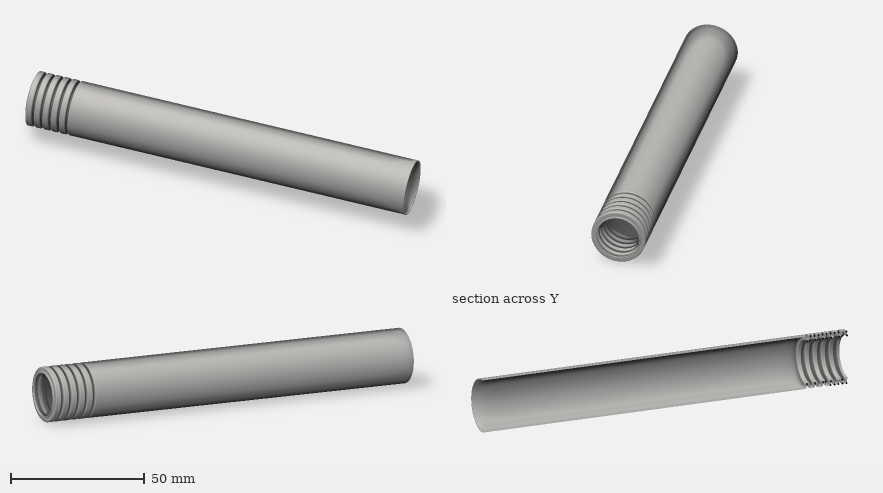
import cadquery as cq

length = 150.0
outer_diameter = 21.0
groove_diameter = 17.3
wall = 0.35

ridge_count = 5
pitch = 3.3
groove_width = 1.05
convex_fillet = 0.4
concave_fillet = 0.2

collar_length = groove_width / 2
ridge_width = pitch - groove_width
tube_start = collar_length + ridge_count * pitch
outer_radius = outer_diameter / 2
groove_radius = groove_diameter / 2


def cylinder(start, end, radius):
    """Solid cylinder on the X axis between two stations."""
    return cq.Workplane("YZ").workplane(offset=start).circle(radius).extrude(end - start)


def round_fold_edges(body, radius, fillet):
    """Round the circular edges of the given radius, leaving the two open ends sharp."""
    circles = body.edges("%CIRCLE").edges("not(<X or >X)").vals()
    fold_edges = [edge for edge in circles if abs(edge.radius() - radius) < wall / 2]
    return body.newObject(fold_edges).fillet(fillet)


def folded_solid(inset, crest_fillet, root_fillet):
    """Solid bounded by the folded outer surface, moved inward by the inset."""
    crest_radius = outer_radius - inset
    root_radius = groove_radius - inset
    body = cylinder(0, length, root_radius)
    body = body.union(cylinder(tube_start + inset, length, crest_radius))
    for index in range(ridge_count):
        start = collar_length + index * pitch
        body = body.union(cylinder(start + inset, start + ridge_width - inset, crest_radius))
    body = round_fold_edges(body, crest_radius, crest_fillet)
    return round_fold_edges(body, root_radius, root_fillet)


envelope = folded_solid(0, convex_fillet, concave_fillet)
cavity = folded_solid(wall, concave_fillet, convex_fillet)
result = envelope.cut(cavity)